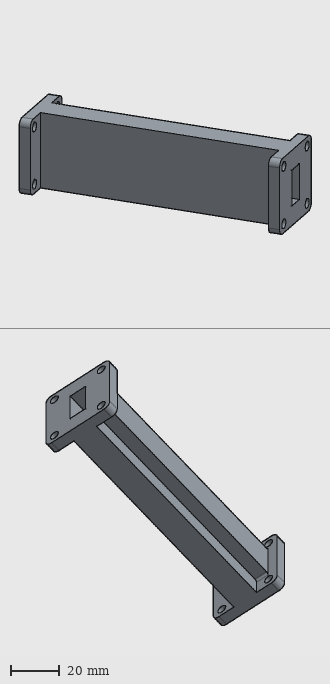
import cadquery as cq

length = 116.0
flange_size = 33.3
flange_thickness = 5.0
flange_corner_radius = 3.0

body_length = length - 2 * flange_thickness
body_width = 11.8
body_height = flange_size

channel_width = 7.9
channel_height = 15.8

hole_diameter = 4.1
hole_spacing_y = 24.4
hole_spacing_z = 25.3

rib_depth = 6.0
rib_height = body_height / 2
rib_blend_radius = 1.0


def make_flange(center_x):
    """Square flange plate with rounded corners and four mounting holes."""
    plate = (
        cq.Workplane("XY")
        .box(flange_thickness, flange_size, flange_size)
        .edges("|X")
        .fillet(flange_corner_radius)
        .faces(">X")
        .workplane()
        .rect(hole_spacing_y, hole_spacing_z, forConstruction=True)
        .vertices()
        .hole(hole_diameter)
    )
    return plate.translate((center_x, 0, 0))


def make_rib():
    """Rib left between two round-cornered recesses, one above it and one below."""
    recess_height = (body_height - rib_height) / 2
    recess_center_z = (body_height - recess_height) / 2
    rib = cq.Workplane("XY").box(body_length, rib_depth, rib_height + 2 * rib_blend_radius)
    for side, inner_face in ((1, "<Z"), (-1, ">Z")):
        recess = cq.Workplane("XY").box(body_length, rib_depth, recess_height)
        recess = recess.faces(inner_face).edges("|Y").fillet(rib_blend_radius)
        rib = rib.cut(recess.translate((0, 0, side * recess_center_z)))
    return rib.translate((0, (body_width + rib_depth) / 2, 0))


body = cq.Workplane("XY").box(body_length, body_width, body_height)
channel = cq.Workplane("XY").box(length, channel_width, channel_height)

flange_center_x = (length - flange_thickness) / 2
result = body.union(make_rib())
for side in (-1, 1):
    result = result.union(make_flange(side * flange_center_x))
result = result.cut(channel)